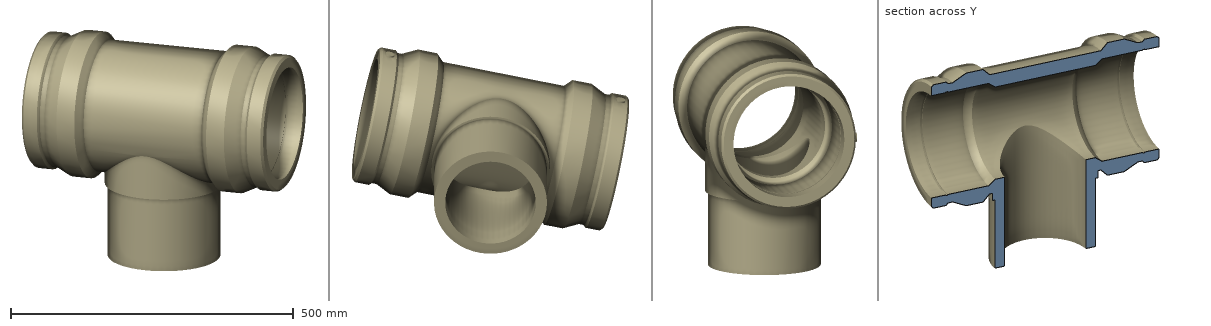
import cadquery as cq

length = 451.0
half_length = length / 2
body_radius = 235.0 / 2
end_radius = 235.5 / 2
collar_radius = 243.0 / 2
bulge_radius = 261.0 / 2
bore_radius = 180.0 / 2

socket_radius = 200.0 / 2
socket_depth = 113.0
stop_taper_length = 13.0
groove_radius = 101.0
groove_start = 28.5
groove_width = 4.0

collar_start = 4.0
collar_end = 29.5
neck_start = 33.5
neck_end = 42.5
bulge_start = 69.0
bulge_end = 102.5
body_start = 115.5

branch_radius = 200.0 / 2
branch_bore_radius = 160.0 / 2
branch_sleeve_radius = 210.0 / 2
branch_sleeve_bottom = 131.2
branch_bottom = 395.5 - bulge_radius

boss_radius = 8.0
boss_top = collar_radius + 3.0


def outer_body():
    """Revolve the stepped outer profile, which is the same at both ends."""
    from_end = [
        (0, end_radius),
        (collar_start, collar_radius),
        (collar_end, collar_radius),
        (neck_start, body_radius),
        (neck_end, body_radius),
        (bulge_start, bulge_radius),
        (bulge_end, bulge_radius),
        (body_start, body_radius),
    ]
    left = [(distance - half_length, radius) for distance, radius in from_end]
    right = [(-x, radius) for x, radius in reversed(left)]
    profile = [(-half_length, 0)] + left + right + [(half_length, 0)]
    return cq.Workplane("XY").polyline(profile).close().revolve(360, (0, 0, 0), (1, 0, 0))


def x_cylinder(start, depth, radius):
    return cq.Workplane("YZ", origin=(start, 0, 0)).circle(radius).extrude(depth)


def down_cylinder(radius, depth):
    return cq.Workplane("XY").circle(radius).extrude(-depth)


def socket(side):
    """Straight socket ending in a conical stop that narrows to the bore."""
    mouth = side * half_length
    taper_start = mouth - side * socket_depth
    taper_end = taper_start - side * stop_taper_length
    profile = [
        (mouth, 0),
        (mouth, socket_radius),
        (taper_start, socket_radius),
        (taper_end, bore_radius),
        (taper_end, 0),
    ]
    return cq.Workplane("XY").polyline(profile).close().revolve(360, (0, 0, 0), (1, 0, 0))


def boss(x):
    """Cylinder along Y, rooted inside the collar wall."""
    root = socket_radius + (collar_radius - socket_radius) / 2
    plane = cq.Workplane("XZ", origin=(x, root, 0))
    return plane.circle(boss_radius).extrude(root - boss_top)


result = outer_body()
result = result.union(down_cylinder(branch_sleeve_radius, branch_sleeve_bottom))
result = result.union(down_cylinder(branch_radius, branch_bottom))

for side in (-1, 1):
    collar_middle = half_length - (collar_start + collar_end) / 2
    result = result.union(boss(side * collar_middle))

result = result.cut(x_cylinder(-half_length, length, bore_radius))
result = result.cut(down_cylinder(branch_bore_radius, branch_bottom))

for side in (-1, 1):
    result = result.cut(socket(side))
    groove = x_cylinder(side * (half_length - groove_start), -side * groove_width, groove_radius)
    result = result.cut(groove)